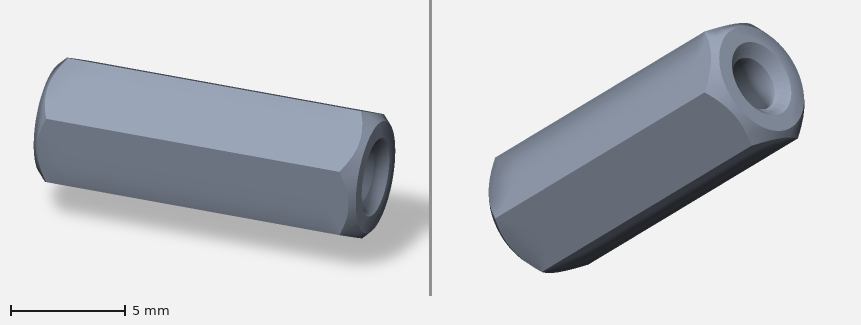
import cadquery as cq
import math

length = 15.0
across_flats = 5.5
end_face_diameter = 5.0
bore_diameter = 2.46
countersink_diameter = 3.5
hex_sides = 6

corner_radius = across_flats / 2 / math.cos(math.pi / hex_sides)
end_face_radius = end_face_diameter / 2
bore_radius = bore_diameter / 2
countersink_radius = countersink_diameter / 2


def hex_bar():
    """Hexagonal bar along X, with flats facing Y and corners pointing along Z."""
    corner_angles = [2 * math.pi * i / hex_sides for i in range(hex_sides)]
    corners = [(corner_radius * math.sin(a), corner_radius * math.cos(a)) for a in corner_angles]
    return cq.Workplane("YZ").polyline(corners).close().extrude(length)


def turned_body(end_radius, middle_radius):
    """Round body along X whose radius changes at 45 degrees near both ends."""
    taper_length = abs(end_radius - middle_radius)
    profile = [
        (0, 0),
        (0, end_radius),
        (taper_length, middle_radius),
        (length - taper_length, middle_radius),
        (length, end_radius),
        (length, 0),
    ]
    return cq.Workplane("XY").polyline(profile).close().revolve(360, (0, 0, 0), (1, 0, 0))


chamfer_envelope = turned_body(end_face_radius, corner_radius)

countersunk_bore = turned_body(countersink_radius, bore_radius)

result = hex_bar().intersect(chamfer_envelope).cut(countersunk_bore)